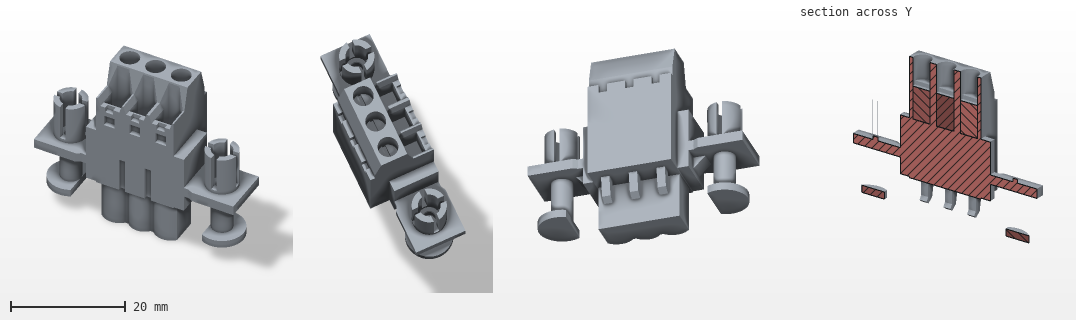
import cadquery as cq
import math

pole_count = 3
pole_pitch = 5.1
pole_xs = [(i - (pole_count - 1) / 2) * pole_pitch for i in range(pole_count)]
gap_xs = [(left + right) / 2 for left, right in zip(pole_xs, pole_xs[1:])]

block_width = 15.35
block_front = -4.25
block_back = 7.93
block_top = 23.43
shelf_z = 18.9
shelf_back = -0.35
roof_front = 0.83
roof_back = 5.85
shoulder_y = 7.05
shoulder_z = 19.13
ledge_z = 17.4

side_width = 19.35
side_bottom = 0.25
side_top = 11.65
flange_length = 39.45
flange_depth = 9.45
flange_bottom = 3.45
flange_thickness = 1.9
flange_top = flange_bottom + flange_thickness
neck_half_length = 10.6
neck_taper = 0.85
brace_size = 2.2
brace_thickness = 3.15

plug_bottom = -8.35
plug_width = 14.9
plug_back = 2.5
plug_valley_y = -2.65
plug_front = -3.63
valley_width = 0.6
valley_offset = 2.5

latch_width = 1.55
latch_back = 5.85
latch_front = 4.02
latch_back_bend = (5.2, -3.6)
latch_tip = (4.1, -4.45)
latch_hook = (3.55, -3.95)
latch_neck_z = -3.2

notch_width = 1.55
notch_height = 1.55
notch_pitch = 4.85

pocket_back = 0.75
pocket_back_width = 2.1
pocket_width = 4.58
pocket_sill_width = 3.5
pocket_sill_z = 17.35
pocket_floor_z = 11.85
first_pocket_extra_width = 0.25
sill_depth = 1.2
sill_notch_width = 1.58
sill_notch_height = 1.0
test_hole_size = 2.1
test_hole_top = 15.45
front_recess_depth = 0.9

groove_width = 1.22
groove_height = 6.75
groove_depth = 0.7

screw_radius = 1.8
screw_y = (roof_front + roof_back) / 2
screw_head_depth = 4.75
screw_length = 7.1
driver_slot_width = 0.65
driver_slot_depth = 0.8

sleeve_x = 14.95
sleeve_radius = 3.08
sleeve_top = 12.95
sleeve_slot_floor = 6.05
sleeve_slot_width = 1.03
shank_radius = 1.97
shank_top = flange_top
foot_radius = 4.25
foot_top = -4.15
foot_thickness = 1.45
pin_hole_radius = 1.1
pin_hole_chamfer = 0.15
pin_hole_depth = 1.97


def box(x_size, y_range, z_range, x=0.0):
    """Box centred on x, spanning the given Y and Z ranges."""
    y_low, y_high = y_range
    z_low, z_high = z_range
    return (
        cq.Workplane("XY", origin=(x, (y_low + y_high) / 2, z_low))
        .rect(x_size, y_high - y_low)
        .extrude(z_high - z_low)
    )


def extrude_along_x(points, width, x=0.0):
    """YZ outline extruded to both sides of x."""
    return cq.Workplane("YZ", origin=(x, 0, 0)).polyline(points).close().extrude(width / 2, both=True)


def mirrored(half_outline):
    """Closed outline from its +X half, mirrored across the Y axis."""
    return half_outline + [(-x, v) for x, v in reversed(half_outline)]


def main_block():
    outline = [
        (block_front, 0),
        (block_front, shelf_z),
        (shelf_back, shelf_z),
        (roof_front, block_top),
        (roof_back, block_top),
        (shoulder_y, shoulder_z),
        (shoulder_y, ledge_z),
        (block_back, ledge_z),
        (block_back, 0),
    ]
    return extrude_along_x(outline, block_width)


def side_blocks():
    return box(side_width, (block_front, -block_front), (side_bottom, side_top))


def flanges():
    wide_start = neck_half_length + neck_taper
    upper_edge = [
        (neck_half_length, -block_front),
        (wide_start, flange_depth / 2),
        (flange_length / 2, flange_depth / 2),
    ]
    right_half = upper_edge + [(x, -y) for x, y in reversed(upper_edge)]
    outline = mirrored(right_half)
    return cq.Workplane("XY", origin=(0, 0, flange_bottom)).polyline(outline).close().extrude(flange_thickness)


def braces():
    half_outline = [
        (side_width / 2, flange_bottom - brace_size),
        (side_width / 2 + brace_size, flange_bottom),
    ]
    return (
        cq.Workplane("XZ").polyline(mirrored(half_outline)).close().extrude(brace_thickness / 2, both=True)
    )


def plug():
    """Three bowed columns side by side, separated by narrow flat valleys."""
    half_width = plug_width / 2
    valley_inner = valley_offset - valley_width / 2
    valley_outer = valley_offset + valley_width / 2
    outer_middle = (half_width + valley_outer) / 2
    return (
        cq.Workplane("XY", origin=(0, 0, plug_bottom))
        .moveTo(-half_width, plug_back)
        .lineTo(-half_width, plug_valley_y)
        .threePointArc((-outer_middle, plug_front), (-valley_outer, plug_valley_y))
        .lineTo(-valley_inner, plug_valley_y)
        .threePointArc((0, plug_front), (valley_inner, plug_valley_y))
        .lineTo(valley_outer, plug_valley_y)
        .threePointArc((outer_middle, plug_front), (half_width, plug_valley_y))
        .lineTo(half_width, plug_back)
        .close()
        .extrude(-plug_bottom)
    )


def latch(x):
    outline = [
        (latch_back, 0),
        latch_back_bend,
        latch_tip,
        latch_hook,
        (latch_front, latch_neck_z),
        (latch_front, 0),
    ]
    return extrude_along_x(outline, latch_width, x)


def wire_pocket(x):
    """Pocket with a flared back, cut from above, with sloping sides down to the sill."""
    plan = mirrored(
        [
            (pocket_width / 2, block_front),
            (pocket_width / 2, shelf_back),
            (pocket_back_width / 2, pocket_back),
        ]
    )
    front = mirrored(
        [
            (pocket_sill_width / 2, pocket_floor_z),
            (pocket_sill_width / 2, pocket_sill_z),
            (pocket_width / 2, shelf_z),
            (pocket_width / 2, block_top),
        ]
    )
    height = block_top - pocket_floor_z
    shaft = cq.Workplane("XY", origin=(x, 0, pocket_floor_z)).polyline(plan).close().extrude(height)
    sides = cq.Workplane("XZ", origin=(x, 0, 0)).polyline(front).close().extrude(block_back, both=True)
    sill = box(pocket_width, (block_front, block_front + sill_depth), (pocket_floor_z, pocket_sill_z), x)
    return shaft.intersect(sides).cut(sill)


def front_recesses(x):
    recess_range = (block_front, block_front + front_recess_depth)
    sill_notch = box(sill_notch_width, recess_range, (pocket_sill_z - sill_notch_height, pocket_sill_z), x)
    test_hole = box(test_hole_size, recess_range, (test_hole_top - test_hole_size, test_hole_top), x)
    return sill_notch.union(test_hole)


def screw_hole(x):
    depth = screw_head_depth + screw_length
    return cq.Workplane("XY", origin=(x, screw_y, block_top)).circle(screw_radius).extrude(-depth)


def sleeve(x):
    """Upright sleeve split into four fingers by crossed slots."""
    body = cq.Workplane("XY", origin=(x, 0, flange_top)).circle(sleeve_radius).extrude(sleeve_top - flange_top)
    for size in ((sleeve_slot_width, 2 * sleeve_radius), (2 * sleeve_radius, sleeve_slot_width)):
        slot = cq.Workplane("XY", origin=(x, 0, sleeve_slot_floor)).rect(*size)
        body = body.cut(slot.extrude(sleeve_top - sleeve_slot_floor))
    return body


def pin_bore(x):
    height = sleeve_top - flange_bottom
    return cq.Workplane("XY", origin=(x, 0, flange_bottom)).circle(shank_radius).extrude(height)


def make_housing():
    body = main_block().union(side_blocks()).union(flanges()).union(braces()).union(plug())
    for x in pole_xs:
        body = body.union(latch(x))
        body = body.cut(wire_pocket(x)).cut(front_recesses(x)).cut(screw_hole(x))
    body = body.cut(wire_pocket(pole_xs[0] + first_pocket_extra_width))
    for x in (-notch_pitch, 0, notch_pitch):
        body = body.cut(box(notch_width, (shoulder_y, block_back), (ledge_z - notch_height, ledge_z), x))
    for x in gap_xs:
        body = body.cut(box(groove_width, (block_front, block_front + groove_depth), (0, groove_height), x))
    for x in (-sleeve_x, sleeve_x):
        body = body.union(sleeve(x)).cut(pin_bore(x))
    return body


def make_clamp_screw(x):
    head_z = block_top - screw_head_depth
    screw = cq.Workplane("XY", origin=(x, screw_y, head_z)).circle(screw_radius).extrude(-screw_length)
    slot_range = (screw_y - driver_slot_width / 2, screw_y + driver_slot_width / 2)
    return screw.cut(box(2 * screw_radius, slot_range, (head_z - driver_slot_depth, head_z), x))


def make_locking_pin(x, turn):
    """Pin whose D-shaped foot has its flat toward +X before it is turned about its axis."""
    shank = cq.Workplane("XY", origin=(0, 0, foot_top)).circle(shank_radius).extrude(shank_top - foot_top)

    foot_bottom = foot_top - foot_thickness
    flat_half_width = math.sqrt(foot_radius**2 - shank_radius**2)
    foot = (
        cq.Workplane("XY", origin=(0, 0, foot_bottom))
        .moveTo(shank_radius, flat_half_width)
        .threePointArc((-foot_radius, 0), (shank_radius, -flat_half_width))
        .close()
        .extrude(foot_thickness)
    )

    mouth_radius = pin_hole_radius + pin_hole_chamfer
    hole_outline = [
        (0, shank_top),
        (mouth_radius, shank_top),
        (pin_hole_radius, shank_top - pin_hole_chamfer),
        (pin_hole_radius, shank_top - pin_hole_depth),
        (0, shank_top - pin_hole_depth),
    ]
    hole = cq.Workplane("XZ").polyline(hole_outline).close().revolve(360, (0, 0, 0), (0, 1, 0))

    pin = shank.union(foot).cut(hole)
    return pin.rotate((0, 0, 0), (0, 0, 1), turn).translate((x, 0, 0))


housing = make_housing()
clamp_screws = [make_clamp_screw(x) for x in pole_xs]
locking_pins = [make_locking_pin(x, turn) for x, turn in ((-sleeve_x, 0), (sleeve_x, 180))]

result = cq.Compound.makeCompound(
    [
        housing.val(),
        *[screw.val() for screw in clamp_screws],
        *[pin.val() for pin in locking_pins],
    ]
)